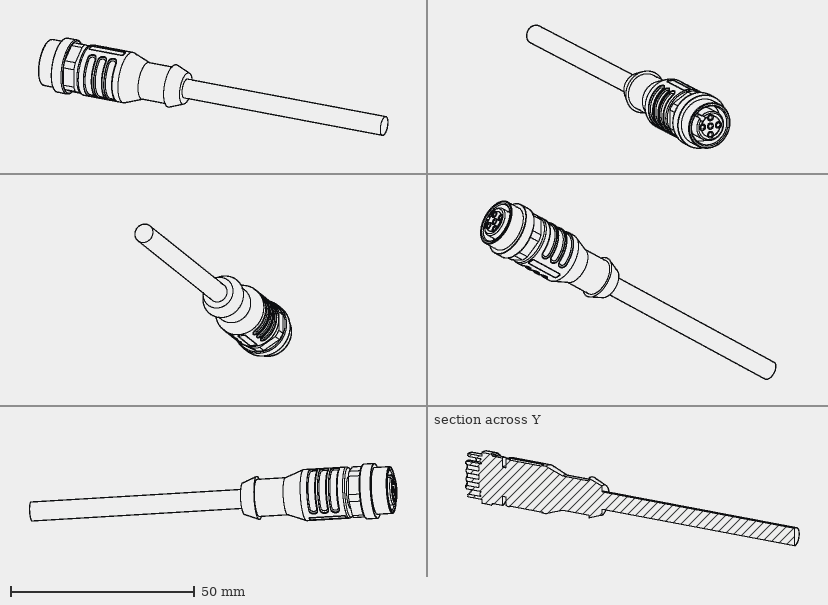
import cadquery as cq
import math

length = 101.0
end_plane = "YZ"

nut_front = 0.7
nut_diameter = 12.8
nut_edge_chamfer = 0.2
nut_bore_diameter = 10.9
nut_bore_lead_in = 0.3
lead_in_angle = 45
collar_start = 5.0
collar_end = 8.3
collar_diameter = 15.0
collar_front_chamfer = 0.1
collar_back_chamfer = 0.3
hex_end = 11.4
hex_sides = 6
hex_flats = 13.0
hex_corner_diameter = 14.0

insert_diameter = 8.3
insert_chamfer = 0.4
recess_floor = 5.0
face_recess_diameter = 5.9
face_recess_depth = 0.2
contact_hole_diameter = 1.1
contact_hole_depth = 4.0
contact_counterbore_diameter = 1.8
contact_counterbore_depth = 0.3
contact_circle_radius = 2.4
contact_count = 4
keyway_radial_position = 3.5
keyway_diameter = 1.4
keyway_length = 4.0

neck_diameter = 8.7
grip_start = 12.4
grip_end = 24.7
grip_diameter = 14.0
grip_edge_length = 0.5
grip_edge_height = 0.2
sleeve_start = 29.9
sleeve_diameter = 10.2
flange_start = 37.9
flange_end = 41.9
flange_diameter = 11.8
flange_end_diameter = 8.7
cable_diameter = 5.3

groove_count = 3
groove_centre = 18.7
groove_pitch = 3.0
groove_width = 2.4
groove_depth = 0.5
groove_bevel = 0.3
groove_inner_y = 2.8

panel_start = 13.4
panel_end = 23.5
panel_width = 2.1
panel_depth = 0.2
panel_corner_radius = 0.4


def cylinder(diameter, start, end):
    """Cylinder on the X axis between two stations."""
    disc = cq.Workplane(end_plane, origin=(start, 0, 0)).circle(diameter / 2)
    return disc.extrude(end - start)


def make_nut():
    """Coupling nut: bored sleeve, collar and rounded hexagon."""
    sleeve = cylinder(nut_diameter, nut_front, collar_start)
    sleeve = sleeve.faces("<X").chamfer(nut_edge_chamfer)
    collar = cylinder(collar_diameter, collar_start, collar_end)
    collar = collar.faces("<X").chamfer(collar_front_chamfer)
    collar = collar.faces(">X").chamfer(collar_back_chamfer)
    hexagon = (
        cq.Workplane(end_plane, origin=(collar_end, 0, 0))
        .polygon(hex_sides, hex_flats, circumscribed=True)
        .extrude(hex_end - collar_end)
    )
    hexagon = hexagon.intersect(cylinder(hex_corner_diameter, collar_end, hex_end))
    nut = sleeve.union(collar).union(hexagon)

    bore = cylinder(nut_bore_diameter, nut_front, recess_floor)
    lead_in = (
        cq.Workplane(end_plane, origin=(nut_front, 0, 0))
        .circle(nut_bore_diameter / 2 + nut_bore_lead_in)
        .extrude(nut_bore_lead_in, taper=lead_in_angle)
    )
    return nut.cut(bore).cut(lead_in)


def contact_holes():
    """Contact holes: one in the centre and the rest on a circle, all counterbored."""
    points = [(0, 0)]
    for index in range(contact_count):
        angle = index * 2 * math.pi / contact_count
        y = contact_circle_radius * math.cos(angle)
        z = contact_circle_radius * math.sin(angle)
        points.append((y, z))
    face = cq.Workplane(end_plane).pushPoints(points)
    holes = face.circle(contact_hole_diameter / 2).extrude(contact_hole_depth)
    counterbores = face.circle(contact_counterbore_diameter / 2).extrude(contact_counterbore_depth)
    return holes.union(counterbores)


def keyway():
    """Round coding groove in the insert, towards +Y and +Z."""
    offset = keyway_radial_position * math.sqrt(0.5)
    return cq.Workplane(end_plane).center(offset, offset).circle(keyway_diameter / 2).extrude(keyway_length)


def make_insert():
    """Socket insert with a recessed face, contact holes and coding groove."""
    insert = cylinder(insert_diameter, 0, recess_floor)
    insert = insert.faces("<X").chamfer(insert_chamfer)
    insert = insert.cut(cylinder(face_recess_diameter, 0, face_recess_depth))
    return insert.cut(contact_holes()).cut(keyway())


def make_seal():
    """Seal ring on the recess floor, filling the gap between insert and nut bore."""
    seal_radius = (nut_bore_diameter - insert_diameter) / 4
    seal_centre = (nut_bore_diameter + insert_diameter) / 4
    seal = cq.Workplane("XY").center(recess_floor, seal_centre).circle(seal_radius)
    return seal.revolve(360, (-recess_floor, -seal_centre, 0), (0, -seal_centre, 0))


def make_body():
    """Neck, grip, tapered sleeve, flange and cable as one turned profile."""
    grip_radius = grip_diameter / 2
    edge_radius = grip_radius - grip_edge_height
    profile = [
        (recess_floor, 0),
        (recess_floor, neck_diameter / 2),
        (grip_start, neck_diameter / 2),
        (grip_start, edge_radius),
        (grip_start + grip_edge_length, grip_radius),
        (grip_end, grip_radius),
        (sleeve_start, sleeve_diameter / 2),
        (flange_start, sleeve_diameter / 2),
        (flange_start, flange_diameter / 2),
        (flange_end, flange_end_diameter / 2),
        (flange_end, cable_diameter / 2),
        (length, cable_diameter / 2),
        (length, 0),
    ]
    return cq.Workplane("XY").polyline(profile).close().revolve(360, (0, 0, 0), (1, 0, 0))


def finger_groove(centre_x):
    """Round-ended groove that wraps around the -Y side, with bevels along its floor."""
    slot_length = collar_diameter
    floor_radius = grip_diameter / 2 - groove_depth
    slot = (
        cq.Workplane("XY")
        .center(centre_x, -groove_inner_y - slot_length / 2)
        .slot2D(slot_length, groove_width, 90)
        .extrude(collar_diameter / 2, both=True)
    )
    slot = slot.cut(cylinder(2 * floor_radius, grip_start, grip_end))
    floor = slot.faces(cq.NearestToPointSelector((centre_x, -floor_radius, 0)))
    return floor.edges().chamfer(groove_bevel)


def finger_grooves():
    """Matching rows of grooves on the -Y and +Y sides."""
    first = groove_centre - groove_pitch * (groove_count - 1) / 2
    grooves = cq.Workplane("XY")
    for index in range(groove_count):
        groove = finger_groove(first + index * groove_pitch)
        grooves = grooves.add(groove).add(groove.mirror("XZ"))
    return grooves.combine()


def marking_panels():
    """Shallow rounded rectangles on the top and bottom of the grip."""
    floor = grip_diameter / 2 - panel_depth
    top_panel = (
        cq.Workplane("XY", origin=((panel_start + panel_end) / 2, 0, floor))
        .rect(panel_end - panel_start, panel_width)
        .extrude(collar_diameter / 2 - floor)
        .edges("|Z")
        .fillet(panel_corner_radius)
    )
    return top_panel.union(top_panel.mirror("XY"))


grip_cuts = finger_grooves().union(marking_panels())
body = make_body().cut(grip_cuts)
result = make_nut().union(make_insert()).union(make_seal()).union(body)